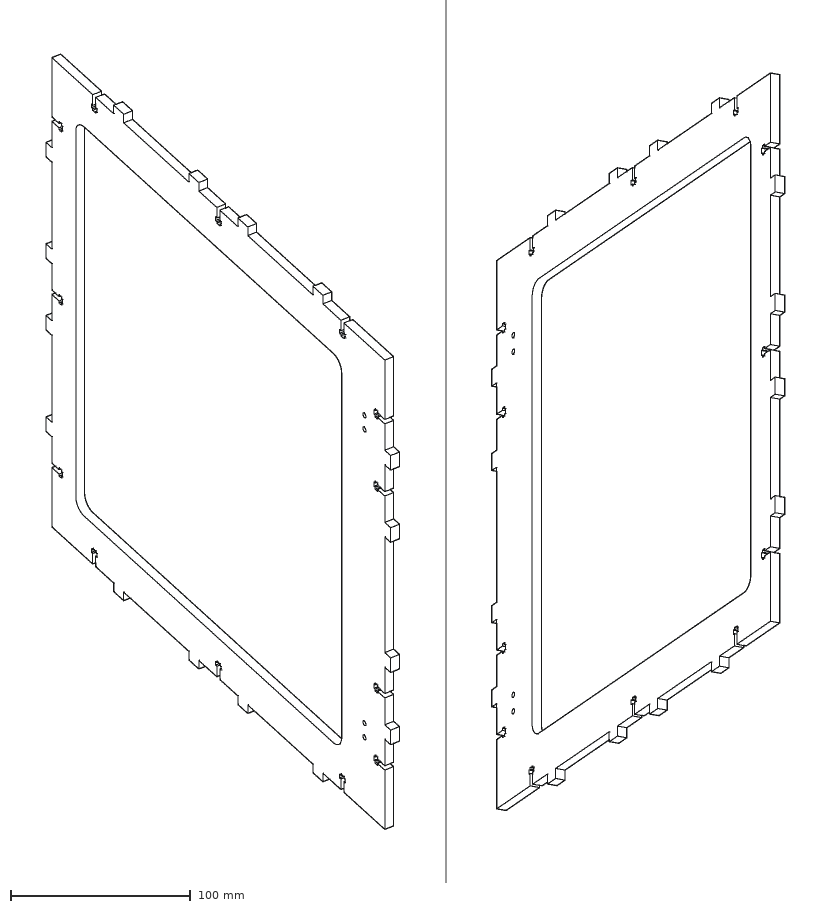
import cadquery as cq

overall_width = 349.7
overall_height = 337.0
thickness = 6.0

tab_depth = thickness
tab_length = 10.0
body_width = overall_width - 2 * tab_depth
body_height = overall_height - 2 * tab_depth

window_size = 269.5
window_center_x = -9.8
window_corner_radius = 8.5

screw_width = 3.0
screw_depth = 11.0
nut_width = 5.5
nut_thickness = 2.5
nut_depth = 7.5

slot_to_tab = 25.0
end_slot_x = 126.0
end_slot_z = 120.0
right_inner_slot_z = 70.0

hole_diameter = 3.0
hole_x = 148.3
hole_pair_z = 106.5
hole_spacing = 9.8


def box(x_min, x_max, z_min, z_max):
    """Block through the full plate thickness."""
    size_x = x_max - x_min
    size_z = z_max - z_min
    center = ((x_min + x_max) / 2, 0, (z_min + z_max) / 2)
    return cq.Workplane("XY").box(size_x, thickness, size_z).translate(center)


def tab(edge, position):
    """Tab on a side facing +X whose face is at x = edge."""
    half = tab_length / 2
    return box(edge - tab_depth, edge + tab_depth, position - half, position + half)


def t_slot(edge, position):
    """T-slot cutter entering from a side facing +X whose face is at x = edge."""
    half_screw = screw_width / 2
    half_nut = nut_width / 2
    nut_outer = edge - nut_depth
    channel = box(edge - screw_depth, edge + tab_depth, position - half_screw, position + half_screw)
    pocket = box(nut_outer - nut_thickness, nut_outer, position - half_nut, position + half_nut)
    return channel.union(pocket)


def turned(shape, angle):
    """Rotate a shape about Y, carrying the +X side to another side."""
    return shape.rotate((0, 0, 0), (0, 1, 0), angle)


def make_window():
    opening = cq.Workplane("XY").box(window_size, 2 * thickness, window_size)
    return opening.edges("|Y").fillet(window_corner_radius).translate((window_center_x, 0, 0))


inner_tab = slot_to_tab
end_tab_x = end_slot_x - slot_to_tab
end_tab_z = end_slot_z - slot_to_tab
right_inner_tab_z = right_inner_slot_z - slot_to_tab

horizontal_slots = [-end_slot_x, 0, end_slot_x]
horizontal_tabs = [-end_tab_x, -inner_tab, inner_tab, end_tab_x]
left_slots = [-end_slot_z, 0, end_slot_z]
left_tabs = [-end_tab_z, -inner_tab, inner_tab, end_tab_z]
right_slots = [-end_slot_z, -right_inner_slot_z, right_inner_slot_z, end_slot_z]
right_tabs = [-end_tab_z, -right_inner_tab_z, right_inner_tab_z, end_tab_z]

sides = [
    (0, body_width / 2, right_slots, right_tabs),
    (180, body_width / 2, left_slots, left_tabs),
    (-90, body_height / 2, horizontal_slots, horizontal_tabs),
    (90, body_height / 2, horizontal_slots, horizontal_tabs),
]

result = cq.Workplane("XY").box(body_width, thickness, body_height).cut(make_window())

for angle, edge, slots, tabs in sides:
    for position in tabs:
        result = result.union(turned(tab(edge, position), angle))
    for position in slots:
        result = result.cut(turned(t_slot(edge, position), angle))

hole_places = [
    (hole_x, end * hole_pair_z + offset)
    for end in (-1, 1)
    for offset in (-hole_spacing / 2, hole_spacing / 2)
]
holes = cq.Workplane("XZ").pushPoints(hole_places).circle(hole_diameter / 2).extrude(thickness, both=True)
result = result.cut(holes)